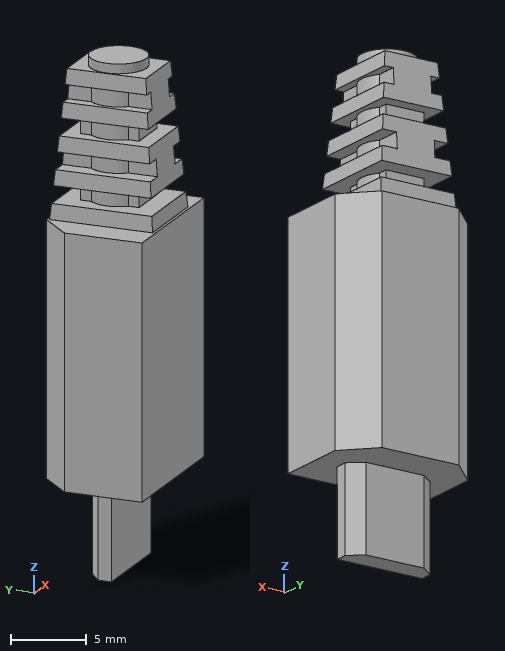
import cadquery as cq

total_height = 35.5

plug_width = 6.78
plug_thickness = 1.8
plug_length = 6.5
plug_chamfer_x = 1.05
plug_chamfer_y = 0.85
body_width = 10.6
body_depth = 7.8
body_top = 24.5
body_chamfer = 2.25

rib_count = 5
rib_height = 1.1
gap_height = 1.2
relief_base_width = 6.05
relief_base_depth = 7.4
relief_top_width = 4.22
relief_top_depth = 5.68
web_width = 3.0
short_web_depth = 4.2
cable_diameter = 4.0

rib_pitch = rib_height + gap_height
gap_count = rib_count - 1
relief_height = rib_count * rib_height + gap_count * gap_height


def bevelled_block(width, depth, bottom, top, chamfer_x, chamfer_y):
    """Upright block with its two +Y corners bevelled."""
    half_width = width / 2
    half_depth = depth / 2
    return (
        cq.Workplane("XY", origin=(0, 0, bottom))
        .polyline([
            (-half_width, -half_depth),
            (half_width, -half_depth),
            (half_width, half_depth - chamfer_y),
            (half_width - chamfer_x, half_depth),
            (-half_width + chamfer_x, half_depth),
            (-half_width, half_depth - chamfer_y),
        ])
        .close()
        .extrude(top - bottom)
    )


def slab(width, depth, bottom, height):
    """Centred rectangular block standing on the given level."""
    return cq.Workplane("XY", origin=(0, 0, bottom)).rect(width, depth).extrude(height)


def strain_relief():
    """Tapered ribs with long and short webs alternating in the gaps."""
    relief = (
        cq.Workplane("XY", origin=(0, 0, body_top))
        .rect(relief_base_width, relief_base_depth)
        .workplane(offset=relief_height)
        .rect(relief_top_width, relief_top_depth)
        .loft(ruled=True)
    )
    for index in range(gap_count):
        gap_bottom = body_top + rib_height + index * rib_pitch
        web_depth = short_web_depth if index % 2 == 0 else relief_base_depth
        gap = slab(relief_base_width, relief_base_depth, gap_bottom, gap_height)
        web = slab(web_width, web_depth, gap_bottom, gap_height)
        relief = relief.cut(gap.cut(web))
    return relief


plug = bevelled_block(
    plug_width, plug_thickness, 0, plug_length, plug_chamfer_x, plug_chamfer_y
)
body = bevelled_block(
    body_width, body_depth, plug_length, body_top, body_chamfer, body_chamfer
)
cable = (
    cq.Workplane("XY", origin=(0, 0, body_top))
    .circle(cable_diameter / 2)
    .extrude(total_height - body_top)
)

result = body.union(plug).union(strain_relief()).union(cable)